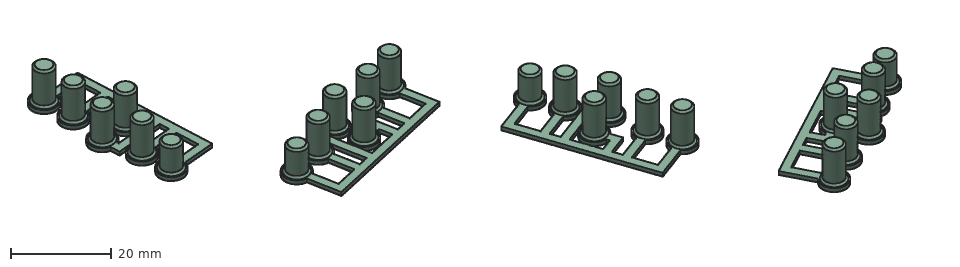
import cadquery as cq

flange_radius = 3.25
flange_height = 1.0
shank_radius = 2.36
collar_height = 0.5
collar_radius = shank_radius + collar_height
tip_chamfer = 0.5
tall_pin_height = 10.0
short_pin_height = 8.0

strip_width = 2.0
half_strip = strip_width / 2
pin_pitch = 7.75

middle_pin_x = 17.04
right_pin_x = 33.66
row_y = -11.3
front_pin_y = -13.16
middle_pin_spacing = 7.0
rear_pin_y = front_pin_y + middle_pin_spacing
row_pin_xs = [0, pin_pitch, right_pin_x - pin_pitch, right_pin_x]

rear_runner_offset = 4.9
front_runner_offset = 4.45
rear_runner_x = middle_pin_x - rear_runner_offset
front_runner_x = middle_pin_x + front_runner_offset


def make_pin(x, y, height):
    """Solid of revolution standing on Z = 0."""
    tip_radius = shank_radius - tip_chamfer
    profile = [
        (0, 0),
        (flange_radius, 0),
        (flange_radius, flange_height),
        (collar_radius, flange_height),
        (shank_radius, flange_height + collar_height),
        (shank_radius, height - tip_chamfer),
        (tip_radius, height),
        (0, height),
    ]
    pin = cq.Workplane("XZ").polyline(profile).close().revolve(360, (0, 0, 0), (0, 1, 0))
    return pin.translate((x, y, 0))


def make_strip(x_min, x_max, y_min, y_max):
    """Flat bar between the given limits."""
    strip = cq.Workplane("XY").box(x_max - x_min, y_max - y_min, flange_height, centered=False)
    return strip.translate((x_min, y_min, 0))


def make_runner(x, y_end):
    """Straight strip from the rear edge of the frame forward to y_end."""
    return make_strip(x - half_strip, x + half_strip, y_end, 0)


def make_bent_runner(x, pin_y):
    """Runner that turns sideways to meet a middle pin."""
    foot_x_min = min(x - half_strip, middle_pin_x)
    foot_x_max = max(x + half_strip, middle_pin_x)
    foot = make_strip(foot_x_min, foot_x_max, pin_y - half_strip, pin_y + half_strip)
    return make_runner(x, pin_y - half_strip).union(foot)


result = make_strip(-half_strip, right_pin_x + half_strip, -strip_width, 0)

for pin_x in row_pin_xs:
    pin_height = short_pin_height if pin_x == right_pin_x else tall_pin_height
    result = result.union(make_runner(pin_x, row_y))
    result = result.union(make_pin(pin_x, row_y, pin_height))

for runner_x, pin_y in [(rear_runner_x, rear_pin_y), (front_runner_x, front_pin_y)]:
    result = result.union(make_bent_runner(runner_x, pin_y))
    result = result.union(make_pin(middle_pin_x, pin_y, tall_pin_height))